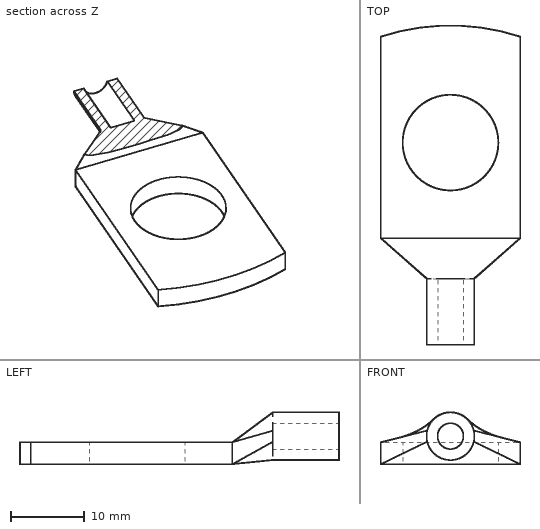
import cadquery as cq
import math

length = 43.45
width = 19.0
height = 7.1
plate_thickness = 3.0
tube_diameter = 6.5
tube_length = 9.0
neck_length = 5.5
bore_diameter = 3.5
hole_diameter = 13.0
hole_y = 27.5
end_arc_rise = 1.5

edge_angle = 13.3

half_width = width / 2
tube_radius = tube_diameter / 2
tube_center_z = height - tube_radius
plate_start_y = tube_length + neck_length


def tube_point(angle):
    """Point on the tube's outer circle where it meets the neck."""
    radians = math.radians(angle)
    return cq.Vector(
        tube_radius * math.cos(radians),
        tube_length,
        tube_center_z + tube_radius * math.sin(radians),
    )


def make_plate():
    """Flat tongue with a bowed far end and a stud hole."""
    shoulder_y = length - end_arc_rise
    plate = (
        cq.Workplane("XY")
        .moveTo(-half_width, plate_start_y)
        .lineTo(half_width, plate_start_y)
        .lineTo(half_width, shoulder_y)
        .threePointArc((0, length), (-half_width, shoulder_y))
        .close()
        .extrude(plate_thickness)
    )
    stud_hole = (
        cq.Workplane("XY")
        .center(0, hole_y)
        .circle(hole_diameter / 2)
        .extrude(plate_thickness)
    )
    return plate.cut(stud_hole)


def make_neck():
    """Ruled transition from the rectangular plate section to the round tube."""
    corners = [
        cq.Vector(half_width, plate_start_y, plate_thickness),
        cq.Vector(-half_width, plate_start_y, plate_thickness),
        cq.Vector(-half_width, plate_start_y, 0),
        cq.Vector(half_width, plate_start_y, 0),
    ]
    plate_section = cq.Wire.makePolygon(corners, close=True)

    angles = [
        edge_angle,
        180 - edge_angle,
        180 + edge_angle,
        360 - edge_angle,
        360 + edge_angle,
    ]
    arcs = []
    for start, end in zip(angles, angles[1:]):
        middle = (start + end) / 2
        arcs.append(
            cq.Edge.makeThreePointArc(tube_point(start), tube_point(middle), tube_point(end))
        )
    tube_section = cq.Wire.assembleEdges(arcs)
    return cq.Workplane(cq.Solid.makeLoft([plate_section, tube_section], True))


def make_cylinder(diameter):
    """Cylinder along the tube axis, as long as the tube."""
    return (
        cq.Workplane("XZ", origin=(0, 0, tube_center_z))
        .circle(diameter / 2)
        .extrude(-tube_length)
    )


tube = make_cylinder(tube_diameter)
bore = make_cylinder(bore_diameter)
result = make_plate().union(make_neck()).union(tube).cut(bore)